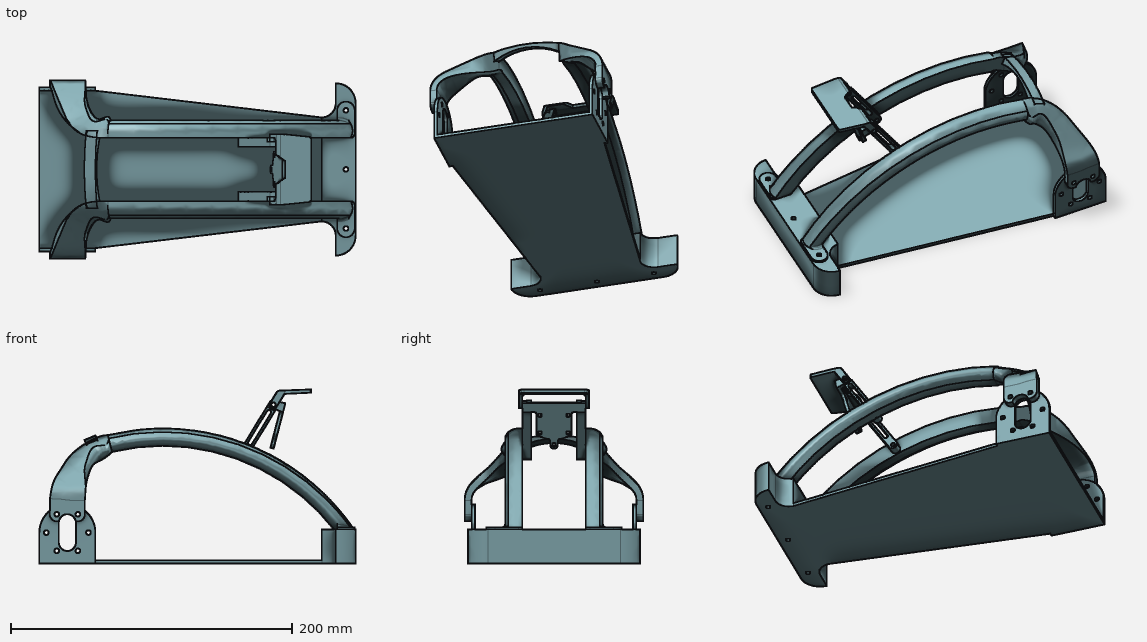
import cadquery as cq
import math

tray_length = 225.0
sheet = 2.5
floor_half_width = 56.0
ear_outer_y = floor_half_width + sheet
ear_length = 40.0
ear_radius = ear_length / 2
ear_center_x = ear_radius
ear_center_z = 22.0
bolt_circle_radius = 15.0
bolt_count = 6
bolt_hole = 3.2
slot_width = 12.0
slot_height = 26.0

block_height = 24.3
neck_fillet = 10.0
wing_depth = 14.3
wing_half_width = 61.3
wing_x = tray_length - wing_depth
neck_x = wing_x - neck_fillet
wing_arc_y = wing_half_width - wing_depth
neck_half_width = wing_arc_y - neck_fillet
foot_hole_x = 218.0
foot_hole_y = 42.0
foot_hole = 3.2

strap_thickness = 5.0
strap_outer_y = ear_outer_y + strap_thickness
strap_width = 25.0
strap_left = ear_center_x - strap_width / 2
strap_right = ear_center_x + strap_width / 2
strap_top = 45.0
lobe_radius = 5.0
lobe_z = ear_center_z + bolt_circle_radius * math.sin(math.radians(60))

arm_inner_y = 22.5
arch_center_x = 88.0
ridge_arc = (162.0, -66.0, arm_inner_y)
shoulder_arc = (165.0, -71.5, 32.6)
outer_belly_arc = (154.0, -70.4, 30.0)
inner_belly_arc = (154.0, -70.4, arm_inner_y)
arch_start_angle = -14.0
arch_end_angle = 60.0
arch_steps = 7
crown_bulge = 1.1
side_bulge = 3.5

foot_radius = 6.2
foot_thickness = 1.5
foot_corner_radius = 3.0
foot_collar_radius = 2.0

crossbar_x = 32.1
crossbar_z = 88.0
crossbar_tilt = 22.0
crossbar_width = 8.4
crossbar_half_span = 27.6
crossbar_top_drop = 3.5
crossbar_depth_middle = 2.6
crossbar_depth_end = 11.5

pivot_x = 166.5
pivot_z = 112.9
pivot_hole = 3.0
link_angle = 58.6
link_length = 42.0
link_radius = 3.25
link_inner_y = 16.0
link_slot_width = 3.0
link_slot_end = 4.8
link_slot_length = 28.5
knuckle_inner_y = 19.5
knuckle_relief = 3.4

visor_half_width = 25.0
visor_tip_half_width = 23.0
visor_sheet = 2.5
visor_left = 168.4
visor_right = 193.3
visor_top_z = 123.86
visor_rise = 0.9
visor_ear_width = 5.4
visor_taper_x = 174.0
visor_bend_radius = 3.3
window_corner_radius = 2.5
visor_corner_radius = 1.5
notch_x = 175.0
notch_mouth = 10.3
notch_bottom = 5.7

plate_tilt = 14.5
plate_thickness = 2.5
plate_top_x = 172.6
plate_top_z = 114.6
shoulder_depth = 6.5
waist_half_width = 12.5
waist_end = 24.0
tip_half_width = 2.8
tip_end = 33.4
waist_fillet = 2.0
plate_hole = 2.5
plate_hole_y = 10.0
plate_hole_depths = (9.0, 22.0)
knuckle_radius = 2.8


def extrude_y(outline, y_start, y_end):
    """Extrude a closed XZ outline from y_start to y_end."""
    return outline.extrude(y_start - y_end).translate((0, y_start, 0))


def xz():
    return cq.Workplane("XZ")


def make_slot_cut():
    cut = xz().center(ear_center_x, ear_center_z).slot2D(slot_height, slot_width, 90)
    return cut.extrude(strap_outer_y * 2, both=True)


def make_bolt_cut():
    cut = xz().center(ear_center_x, ear_center_z)
    cut = cut.polarArray(bolt_circle_radius, 0, 360, bolt_count).circle(bolt_hole / 2)
    return cut.extrude(strap_outer_y * 2, both=True)


def make_base():
    floor = (
        cq.Workplane("XY")
        .moveTo(0, floor_half_width)
        .lineTo(ear_length, floor_half_width)
        .lineTo(neck_x, neck_half_width)
        .lineTo(neck_x, -neck_half_width)
        .lineTo(ear_length, -floor_half_width)
        .lineTo(0, -floor_half_width)
        .close()
        .extrude(sheet)
    )
    ear_outline = (
        xz()
        .moveTo(0, 0)
        .lineTo(ear_length, 0)
        .lineTo(ear_length, ear_center_z)
        .threePointArc((ear_center_x, ear_center_z + ear_radius), (0, ear_center_z))
        .close()
    )
    ear = extrude_y(ear_outline, floor_half_width, ear_outer_y).cut(make_slot_cut()).cut(make_bolt_cut())

    half_block = (
        cq.Workplane("XY")
        .moveTo(neck_x, 0)
        .lineTo(neck_x, neck_half_width)
        .radiusArc((wing_x, wing_arc_y), -neck_fillet)
        .lineTo(wing_x, wing_half_width)
        .radiusArc((tray_length, wing_arc_y), wing_depth)
        .lineTo(tray_length, 0)
        .close()
        .extrude(block_height)
    )
    block = half_block.union(half_block.mirror("XZ"))
    holes = (
        cq.Workplane("XY")
        .pushPoints([(foot_hole_x, y) for y in (-foot_hole_y, 0, foot_hole_y)])
        .circle(foot_hole / 2)
        .extrude(block_height)
    )
    return floor.union(ear).union(ear.mirror("XZ")).union(block.cut(holes))


def arch_point(arc, angle):
    """Where an edge arc meets the ray that leaves the ridge centre at this angle from vertical."""
    radius, center_z, y = arc
    ridge_center_z = ridge_arc[1]
    turn = math.radians(angle)
    drop = ridge_center_z - center_z
    reach = math.sqrt(radius**2 - (drop * math.sin(turn)) ** 2) - drop * math.cos(turn)
    return cq.Vector(arch_center_x + reach * math.sin(turn), y, ridge_center_z + reach * math.cos(turn))


def arm_section(ridge, shoulder, outer_belly, inner_belly, crown, side):
    """Four-sided ring; the top and outer sides bulge outward by crown and side."""
    top_middle = (ridge + shoulder) / 2
    outer_middle = (shoulder + outer_belly) / 2
    up = (top_middle - (outer_belly + inner_belly) / 2).normalized()
    out = (outer_middle - (ridge + inner_belly) / 2).normalized()
    return cq.Wire.assembleEdges([
        cq.Edge.makeSpline([ridge, top_middle + up * crown, shoulder]),
        cq.Edge.makeSpline([shoulder, outer_middle + out * side, outer_belly]),
        cq.Edge.makeLine(outer_belly, inner_belly),
        cq.Edge.makeLine(inner_belly, ridge),
    ])


twist_rings = [
    ((8, 63.0, 49.5), (32.8, 63.0, 49.5), (32.8, 58, 48.5), (8, 58, 48.5), 0.0),
    ((9, 60.8, 54.5), (33, 60.8, 54.5), (33, 55.7, 52.3), (9, 55.7, 52.3), 0.0),
    ((12.6, 51.8, 63), (32.2, 52, 63.8), (34, 48.5, 59.3), (11.8, 46.5, 57.5), 0.1),
    ((18, 38.5, 71.5), (33, 44, 71), (36.5, 41, 67), (20, 33.2, 62.5), 0.3),
    ((25.5, 28, 80), (36, 36.5, 79.5), (40, 35, 71.5), (31, 25.6, 68.5), 0.6),
    ((34, 23.8, 86), (40.5, 34, 83.5), (44, 32, 73.5), (39, 23.2, 74), 0.9),
]


def strap_ring(z):
    return arm_section(
        cq.Vector(strap_left, strap_outer_y, z),
        cq.Vector(strap_right, strap_outer_y, z),
        cq.Vector(strap_right, ear_outer_y, z),
        cq.Vector(strap_left, ear_outer_y, z),
        0,
        0,
    )


def arch_ring(angle):
    arcs = (ridge_arc, shoulder_arc, outer_belly_arc, inner_belly_arc)
    return arm_section(*[arch_point(arc, angle) for arc in arcs], crown_bulge, side_bulge)


def make_twist():
    rings = [strap_ring(strap_top)]
    for *corners, share in twist_rings:
        vectors = [cq.Vector(*corner) for corner in corners]
        rings.append(arm_section(*vectors, crown_bulge * share, side_bulge * share))
    rings.append(arch_ring(arch_start_angle))
    span = strap_outer_y - arm_inner_y
    limits = cq.Workplane("XY").box(tray_length, span, tray_length).translate((0, arm_inner_y + span / 2, 0))
    return cq.Workplane(cq.Solid.makeLoft(rings)).intersect(limits)


def make_arch():
    step = (arch_end_angle - arch_start_angle) / arch_steps
    rings = [arch_ring(arch_start_angle + step * index) for index in range(arch_steps + 1)]
    return cq.Workplane(cq.Solid.makeLoft(rings))


def make_foot():
    """Flat tab on the block: round at the screw hole, with one rounded corner under the arm."""
    tab_length = foot_hole_y - arm_inner_y
    tab = (
        cq.Workplane("XY", origin=(foot_hole_x, arm_inner_y + tab_length / 2, block_height))
        .rect(2 * foot_radius, tab_length)
        .extrude(foot_thickness)
        .edges("|Z and <Y and >X")
        .fillet(foot_corner_radius)
    )
    hole_spot = cq.Workplane("XY", origin=(foot_hole_x, foot_hole_y, block_height))
    end = hole_spot.circle(foot_radius).extrude(foot_thickness)
    hole = hole_spot.circle(foot_hole / 2).extrude(foot_thickness)
    return tab.union(end).cut(hole)


def make_arm(crossbar):
    strap_height = strap_top - lobe_z + lobe_radius
    strap = (
        cq.Workplane("XY")
        .box(strap_width, strap_thickness, strap_height, centered=(True, False, False))
        .translate((ear_center_x, ear_outer_y, lobe_z - lobe_radius))
        .edges("|Y and <Z")
        .fillet(lobe_radius)
        .cut(make_slot_cut())
        .cut(make_bolt_cut())
    )
    below_block = (
        cq.Workplane("XY")
        .box(tray_length, tray_length, block_height, centered=(False, True, False))
        .translate((tray_length / 2, 0, 0))
    )
    arch = make_arch().cut(below_block).union(make_foot())
    collar_edge = cq.selectors.NearestToPointSelector(
        (foot_hole_x, shoulder_arc[2], block_height + foot_thickness)
    )
    arch = arch.edges(collar_edge).fillet(foot_collar_radius)
    return arch.union(make_twist()).union(strap).cut(crossbar)


def make_crossbar():
    outline = (
        cq.Workplane("YZ")
        .moveTo(-crossbar_half_span, -crossbar_top_drop)
        .threePointArc((0, 0), (crossbar_half_span, -crossbar_top_drop))
        .lineTo(crossbar_half_span, -crossbar_depth_end)
        .threePointArc((0, -crossbar_depth_middle), (-crossbar_half_span, -crossbar_depth_end))
        .close()
    )
    bar = outline.extrude(crossbar_width).rotate((0, 0, 0), (0, 1, 0), -crossbar_tilt)
    return bar.translate((crossbar_x, 0, crossbar_z))


def make_link():
    """Slotted link, built hanging along -X from the pivot and then turned into place."""
    body = extrude_y(
        xz().center(-link_length / 2, 0).slot2D(link_length + 2 * link_radius, 2 * link_radius),
        link_inner_y,
        arm_inner_y,
    )
    through = 2 * arm_inner_y
    slot_center = -link_slot_end - link_slot_length / 2
    slot = xz().center(slot_center, 0).slot2D(link_slot_length, link_slot_width).extrude(-through)
    holes = xz().pushPoints([(0, 0), (-link_length, 0)]).circle(pivot_hole / 2).extrude(-through)
    relief_length = knuckle_relief + 2 * link_radius
    relief = extrude_y(
        xz().center(relief_length / 2 - knuckle_relief, 0).rect(relief_length, 4 * link_radius),
        knuckle_inner_y,
        arm_inner_y,
    )
    link = body.cut(slot).cut(holes).cut(relief)
    return link.rotate((0, 0, 0), (0, 1, 0), -link_angle).translate((pivot_x, 0, pivot_z))


def make_visor():
    slope = math.radians(link_angle)
    along = (math.cos(slope), math.sin(slope))
    across = (math.sin(slope), -math.cos(slope))
    half = visor_ear_width / 2
    plate_left_top = visor_top_z - visor_rise

    def ear_point(side, distance):
        x = pivot_x + along[0] * distance + across[0] * side * half
        z = pivot_z + along[1] * distance + across[1] * side * half
        return (x, z)

    def ear_at_height(side, z):
        distance = (z - pivot_z - across[1] * side * half) / along[1]
        return ear_point(side, distance)

    profile = (
        xz()
        .moveTo(*ear_at_height(-1, plate_left_top))
        .lineTo(visor_right, visor_top_z)
        .lineTo(visor_right, visor_top_z - visor_sheet)
        .lineTo(*ear_at_height(1, plate_left_top - visor_sheet))
        .lineTo(*ear_point(1, 0))
        .threePointArc((pivot_x - along[0] * half, pivot_z - along[1] * half), ear_point(-1, 0))
        .close()
    )
    visor = extrude_y(profile, -visor_half_width, visor_half_width)
    corner_x, corner_z = ear_at_height(-1, plate_left_top)
    bend_edge = cq.selectors.NearestToPointSelector((corner_x, 0, corner_z))
    visor = visor.edges(bend_edge).fillet(visor_bend_radius)

    plan = (
        cq.Workplane("XY")
        .moveTo(0, -visor_half_width)
        .lineTo(visor_taper_x, -visor_half_width)
        .lineTo(visor_right, -visor_tip_half_width)
        .lineTo(visor_right, visor_tip_half_width)
        .lineTo(visor_taper_x, visor_half_width)
        .lineTo(0, visor_half_width)
        .close()
        .extrude(visor_top_z)
        .edges("|Z and >X")
        .fillet(visor_corner_radius)
    )
    window = (
        cq.Workplane("YZ")
        .rect(2 * arm_inner_y, 2 * (plate_left_top - visor_sheet))
        .extrude(visor_right)
        .edges("|X and >Z")
        .fillet(window_corner_radius)
    )
    notch = (
        cq.Workplane("XY")
        .moveTo(notch_x, -notch_bottom)
        .lineTo(notch_x, notch_bottom)
        .lineTo(visor_left, notch_mouth)
        .lineTo(0, notch_mouth)
        .lineTo(0, -notch_mouth)
        .lineTo(visor_left, -notch_mouth)
        .close()
        .extrude(visor_top_z)
    )
    pin = xz().center(pivot_x, pivot_z).circle(pivot_hole / 2).extrude(visor_half_width, both=True)
    return visor.intersect(plan).cut(window).cut(notch).cut(pin)


def make_hanging_plate():
    """Plate drawn in YZ hanging from its top edge, tilted about Y, with a knuckle at each end."""
    one_side = (
        cq.Workplane("YZ")
        .moveTo(-tip_half_width, 0)
        .lineTo(arm_inner_y, 0)
        .lineTo(arm_inner_y, -shoulder_depth)
        .lineTo(waist_half_width, -shoulder_depth)
        .lineTo(waist_half_width, -waist_end)
        .lineTo(tip_half_width, -waist_end - tip_half_width)
        .lineTo(tip_half_width, tip_half_width - tip_end)
        .threePointArc((0, -tip_end), (-tip_half_width, tip_half_width - tip_end))
        .close()
        .extrude(plate_thickness)
    )
    plate = one_side.union(one_side.mirror("XZ"))
    for y in (-waist_half_width, waist_half_width):
        for depth in (shoulder_depth, waist_end):
            corner = cq.selectors.NearestToPointSelector((plate_thickness / 2, y, -depth))
            plate = plate.edges(corner).fillet(waist_fillet)
    for y in (-tip_half_width, tip_half_width):
        corner = cq.selectors.NearestToPointSelector((plate_thickness / 2, y, -waist_end - tip_half_width))
        plate = plate.edges(corner).fillet(waist_fillet)
    spots = [(y, -depth) for y in (-plate_hole_y, plate_hole_y) for depth in plate_hole_depths]
    spots.append((0, tip_half_width - tip_end))
    plate = plate.cut(cq.Workplane("YZ").pushPoints(spots).circle(plate_hole / 2).extrude(plate_thickness))
    plate = plate.rotate((0, 0, 0), (0, 1, 0), plate_tilt).translate((plate_top_x, 0, plate_top_z))

    tilt = math.radians(plate_tilt)
    root_x = plate_top_x - shoulder_depth * math.sin(tilt)
    root_z = plate_top_z - shoulder_depth * math.cos(tilt)
    arm_outline = (
        xz()
        .moveTo(pivot_x, pivot_z + knuckle_radius)
        .threePointArc((pivot_x - knuckle_radius, pivot_z), (pivot_x, pivot_z - knuckle_radius))
        .lineTo(root_x, root_z)
        .lineTo(plate_top_x, plate_top_z)
        .close()
    )
    knuckle = extrude_y(arm_outline, knuckle_inner_y, arm_inner_y)
    pin = xz().center(pivot_x, pivot_z).circle(pivot_hole / 2).extrude(arm_inner_y, both=True)
    return plate.union(knuckle).union(knuckle.mirror("XZ")).cut(pin)


base = make_base()
crossbar = make_crossbar()
arm = make_arm(crossbar)
link = make_link()
visor = make_visor()
hanging_plate = make_hanging_plate()

bodies = [base.val(), crossbar.val(), visor.val(), hanging_plate.val()]
for one_side in (arm, link):
    for body in (one_side, one_side.mirror("XZ")):
        bodies.append(body.val())

result = cq.Compound.makeCompound(bodies)